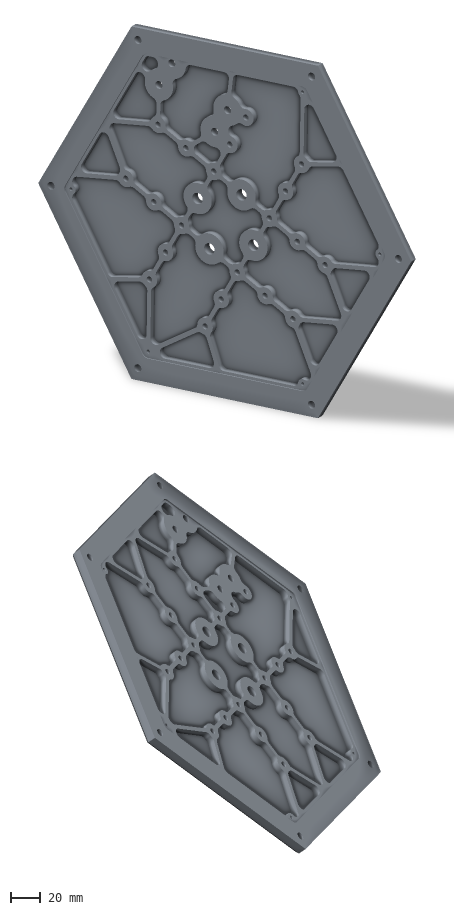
import cadquery as cq
import math

CORNER_RADIUS = 145.0
THICKNESS = 8.0
BACK_CHAMFER = 2.0

RECESS_FLAT = 108.57
RECESS_DEPTH = 1.0
RECESS_CORNER_FILLET = 5.0

LEDGE_WIDTH = 2.0
POCKET_FLOOR = 2.0
POCKET_FILLET = 4.0
RIB_WIDTH = 3.0

GRID_ANGLE = 60.0
PITCH = 25.0

SHAFT_HOLE = 8.0
SHAFT_BOSS = 22.0
GRID_HOLE = 4.2
GRID_BOSS = 12.0
MOUNT_HOLE = 5.5
MOUNT_BOSS = 22.0
RIM_HOLE = 5.5
RIM_HOLE_RADIUS = 135.0
BLIND_HOLE = 2.5
BLIND_BOSS = 7.0
BLIND_DEPTH = 4.0
DRILL_POINT_ANGLE = 118.0
BLIND_HOLE_RADIUS = 120.0

MOUNT_ROWS = (50.0, 70.0)
MOUNT_COLUMNS = (38.6, 88.6)


def grid(u, v):
    """Plate (x, z) of the grid position (u, v)."""
    angle = math.radians(GRID_ANGLE)
    return (
        u * math.cos(angle) - v * math.sin(angle),
        u * math.sin(angle) + v * math.cos(angle),
    )


def polar(radius, degrees):
    angle = math.radians(degrees)
    return (radius * math.cos(angle), radius * math.sin(angle))


def at_depth(depth):
    """Workplane parallel to the worked face, a given depth below it."""
    return cq.Workplane("XZ", origin=(0, depth - THICKNESS, 0))


def hexagon(flat, depth, height):
    corner_diameter = 2 * flat / math.cos(math.radians(30))
    return at_depth(depth).polygon(6, corner_diameter).extrude(-height)


def discs(points, diameter, depth, height):
    return at_depth(depth).pushPoints(points).circle(diameter / 2).extrude(-height)


def drill_points(points, diameter, depth):
    """Cones that a drill leaves at the bottom of blind holes."""
    radius = diameter / 2
    tip = radius / math.tan(math.radians(DRILL_POINT_ANGLE / 2))
    return [
        cq.Solid.makeCone(radius, 0, tip, cq.Vector(x, depth - THICKNESS, z), cq.Vector(0, 1, 0))
        for x, z in points
    ]


def rib(start, end, depth, height):
    dx = end[0] - start[0]
    dz = end[1] - start[1]
    middle = ((start[0] + end[0]) / 2, (start[1] + end[1]) / 2)
    return (
        at_depth(depth)
        .center(*middle)
        .transformed(rotate=(0, 0, math.degrees(math.atan2(dz, dx))))
        .rect(math.hypot(dx, dz), RIB_WIDTH)
        .extrude(-height)
    )


SIDES = (-1, 1)
shaft_points = [grid(PITCH, 0), grid(-PITCH, 0), grid(0, PITCH), grid(0, -PITCH)]
grid_points = [
    grid(su * u * PITCH, sv * v * PITCH)
    for su in SIDES
    for sv in SIDES
    for u, v in ((1, 1), (2, 1), (3, 1), (1, 2), (1, 3))
]
mount_points = [grid(u, v) for u in MOUNT_ROWS for v in MOUNT_COLUMNS]
rim_points = [polar(RIM_HOLE_RADIUS, 60 * i) for i in range(6)]
blind_points = [polar(BLIND_HOLE_RADIUS, 60 * i) for i in range(6) if i != 2]


def rib_lines():
    near, arm = PITCH, 3 * PITCH
    outer = 2 * PITCH
    slant_u = (RECESS_FLAT - outer * math.sin(math.radians(30))) / math.cos(math.radians(30))
    lines = []
    for s in SIDES:
        lines.append((grid(s * near, -arm), grid(s * near, arm)))
        end = outer if s == 1 else arm
        lines.append((grid(-arm, s * near), grid(end, s * near)))
        for t in SIDES:
            lines.append((grid(t * near, s * arm), grid(0, s * RECESS_FLAT)))
            if (s, t) != (1, 1):
                lines.append((grid(t * near, s * arm), grid(t * outer, s * RECESS_FLAT)))
            if (s, t) != (1, 1):
                lines.append((grid(s * arm, t * near), grid(s * BLIND_HOLE_RADIUS, 0)))
                lines.append((grid(s * arm, t * near), grid(s * slant_u, t * outer)))
    low, high = MOUNT_ROWS
    inner, far = MOUNT_COLUMNS
    lines.append((grid(near, outer), grid(low, inner)))
    lines.append((grid(near, arm), grid(low, far)))
    lines.append((grid(high, inner), grid(slant_u, outer)))
    return lines


def pockets():
    """Pockets between ribs and bosses, with every inside corner rounded."""
    height = THICKNESS - RECESS_DEPTH - POCKET_FLOOR
    sharp = hexagon(RECESS_FLAT - LEDGE_WIDTH, RECESS_DEPTH, height)
    for points, diameter in (
        (shaft_points, SHAFT_BOSS),
        (grid_points, GRID_BOSS),
        (mount_points, MOUNT_BOSS),
        (blind_points, BLIND_BOSS),
    ):
        sharp = sharp.cut(discs(points, diameter, RECESS_DEPTH, height))
    for start, end in rib_lines():
        sharp = sharp.cut(rib(start, end, RECESS_DEPTH, height))
    rounded = cq.Workplane("XZ")
    for outline in sharp.faces("<Y").wires().vals():
        for shrunk in outline.offset2D(-POCKET_FILLET):
            for grown in shrunk.offset2D(POCKET_FILLET):
                rounded = rounded.add(cq.Solid.extrudeLinear(grown, [], cq.Vector(0, height, 0)))
    return rounded


plate = hexagon(CORNER_RADIUS * math.cos(math.radians(30)), 0, THICKNESS)
plate = plate.faces(">Y").chamfer(BACK_CHAMFER)
recess = hexagon(RECESS_FLAT, 0, RECESS_DEPTH).edges("|Y").fillet(RECESS_CORNER_FILLET)
plate = plate.cut(recess)
plate = plate.cut(cq.Workplane(cq.Compound.makeCompound(pockets().vals())))

for points, diameter in (
    (shaft_points, SHAFT_HOLE),
    (grid_points, GRID_HOLE),
    (mount_points, MOUNT_HOLE),
    (rim_points, RIM_HOLE),
):
    plate = plate.cut(discs(points, diameter, 0, THICKNESS))
plate = plate.cut(discs(blind_points, BLIND_HOLE, RECESS_DEPTH, BLIND_DEPTH))
for cone in drill_points(blind_points, BLIND_HOLE, RECESS_DEPTH + BLIND_DEPTH):
    plate = plate.cut(cq.Workplane(cone))

result = plate